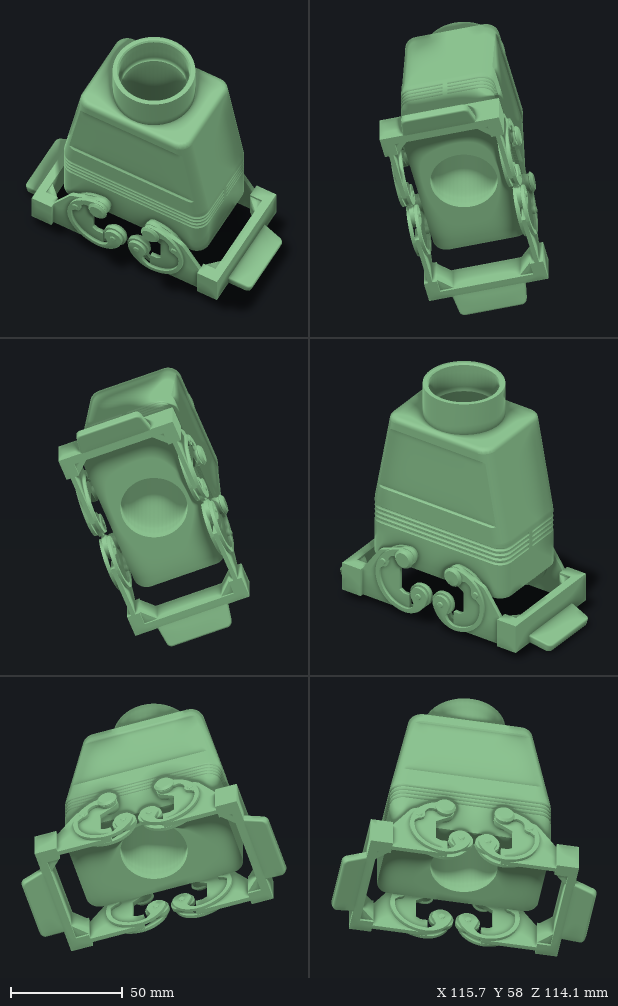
import cadquery as cq
import math


HOOD_LENGTH = 73.0
HOOD_WIDTH = 43.0
HOOD_HEIGHT = 75.0
HOOD_TOP_LENGTH = 55.6
TAPER_START = 28.5
TAPER_BLEND_RADIUS = 6.0
CORNER_RADIUS = 6.0
TOP_EDGE_RADIUS = 2.5

PANEL_BOTTOM = 36.9
PANEL_TOP = 68.1
PANEL_DEPTH = 0.8

GROOVE_COUNT = 4
GROOVE_LOWEST = 18.2
GROOVE_PITCH = 2.4
GROOVE_DEPTH = 0.8
GROOVE_RIB_WIDTH = 2.4

NECK_RADIUS = 18.5
NECK_HEIGHT = 16.0
NECK_BORE_RADIUS = 16.0
NECK_BORE_DEPTH = 12.0
NECK_MOUTH_CHAMFER = 0.6
CABLE_HOLE_RADIUS = 15.0
LEDGE_RADIUS = 2.0

FRAME_END = 47.3
FRAME_WIDTH = 54.8
FRAME_TOP = -6.4
FRAME_HEIGHT = 14.0
BAR_THICKNESS = 4.0
ARM_LENGTH = 10.1
ARM_WIDTH = 6.0
GUSSET_DROP = 1.1
FRAME_BOTTOM = FRAME_TOP - FRAME_HEIGHT
ARM_END = FRAME_END - ARM_LENGTH

TAB_TOP = -16.4
TAB_THICKNESS = 3.92
TAB_LENGTH = 11.19
TAB_ROOT_WIDTH = 34.0
TAB_TIP_WIDTH = 30.2
TAB_DROOP = 16.0
TAB_CORNER_RADIUS = 2.5
TAB_EDGE_RADIUS = 0.8
TAB_EMBED = 2.0

SIDE_Y = 24.5
PLATE_THICKNESS = 2.0
HOOK_THICKNESS = 5.0
RIVET_LENGTH = 6.0
PIN = (-13.4, 7.6)
HOOK_CENTRE = (-13.4, -4.6)
RIVET = (-25.2, 2.0)
ROLLER = (-6.0, -9.9)
HOOK_OUTER_RADIUS = 16.0
HOOK_INNER_RADIUS = 14.0
PIN_BOSS_RADIUS = 4.2
HOOK_PIN_RADIUS = 3.9
PIN_RADIUS = 2.3
PIN_HEAD_RADIUS = 4.6
PIN_HEAD_CHAMFER = 1.0
PIN_HEAD_THICKNESS = 1.4
PIN_END = 29.0
ROLLER_RADIUS = 5.5
HOOK_EYE_RADIUS = 4.35
RIVET_RADIUS = 1.5
RIVET_CHAMFER = 0.4
RIVET_BOSS_RADIUS = 5.1
RIVET_COLLAR_RADIUS = 2.6
PLATE_JAW_X = -17.4
PLATE_SEAT_Z = -12.0
PLATE_SEAT_CORNER = (2.0, 1.2)
PLATE_TIP_X = -12.2


def polar(centre, radius, degrees):
    """Point on a circle, with the angle counted from +X."""
    angle = math.radians(degrees)
    return (centre[0] + radius * math.cos(angle), centre[1] + radius * math.sin(angle))


def tangent_point(point, centre, radius, side):
    """Where a line from a point touches a circle; side is +1 or -1."""
    dx = point[0] - centre[0]
    dy = point[1] - centre[1]
    spread = math.degrees(math.acos(radius / math.hypot(dx, dy)))
    return polar(centre, radius, math.degrees(math.atan2(dy, dx)) + side * spread)


def slab(y_start, thickness):
    """Workplane for XZ outlines whose extrusion by the thickness fills from y_start towards +Y."""
    return cq.Workplane("XZ", origin=(0, y_start + thickness, 0))


def disc(centre, radius, thickness, y_start):
    return slab(y_start, thickness).center(*centre).circle(radius).extrude(thickness)


def make_hood_body():
    half = HOOD_LENGTH / 2
    half_top = HOOD_TOP_LENGTH / 2
    body = (
        slab(-HOOD_WIDTH / 2, HOOD_WIDTH)
        .moveTo(-half, 0)
        .lineTo(half, 0)
        .lineTo(half, TAPER_START)
        .lineTo(half_top, HOOD_HEIGHT)
        .lineTo(-half_top, HOOD_HEIGHT)
        .lineTo(-half, TAPER_START)
        .close()
        .extrude(HOOD_WIDTH)
    )
    margin = 1.0
    bends = cq.selectors.BoxSelector(
        (-HOOD_LENGTH, -HOOD_WIDTH, TAPER_START - margin),
        (HOOD_LENGTH, HOOD_WIDTH, TAPER_START + margin),
    )
    body = body.edges("|Y").edges(bends).fillet(TAPER_BLEND_RADIUS)
    body = body.faces("<Y or >Y").edges("not |X").fillet(CORNER_RADIUS)
    return body.faces(">Z").edges().fillet(TOP_EDGE_RADIUS)


def cut_panels(hood):
    face_y = HOOD_WIDTH / 2
    outline = [
        (-face_y, PANEL_BOTTOM - PANEL_DEPTH),
        (-face_y + PANEL_DEPTH, PANEL_BOTTOM),
        (-face_y + PANEL_DEPTH, PANEL_TOP),
        (-face_y, PANEL_TOP + PANEL_DEPTH),
    ]
    panel = cq.Workplane("YZ").polyline(outline).close().extrude(HOOD_LENGTH / 2, both=True)
    return hood.cut(panel).cut(panel.mirror("XZ"))


def hood_outline(z):
    """Rounded plan outline of the hood at a height, ready to be extruded."""
    outline = cq.Sketch().rect(HOOD_LENGTH, HOOD_WIDTH).vertices().fillet(CORNER_RADIUS)
    return cq.Workplane("XY", origin=(0, 0, z)).placeSketch(outline)


def make_groove(z_centre):
    """V-shaped ring around the hood, left out where the end ribs stand."""
    lower_core = hood_outline(z_centre - GROOVE_DEPTH).extrude(GROOVE_DEPTH, taper=45)
    core = lower_core.union(lower_core.mirror("XY", (0, 0, z_centre)))
    ring = hood_outline(z_centre - GROOVE_DEPTH).extrude(2 * GROOVE_DEPTH).cut(core)
    rib = cq.Workplane("XY", origin=(0, 0, z_centre)).box(
        2 * HOOD_LENGTH, GROOVE_RIB_WIDTH, 4 * GROOVE_DEPTH
    )
    return ring.cut(rib)


def add_neck(hood):
    top = HOOD_HEIGHT + NECK_HEIGHT
    bore_end = top - NECK_BORE_DEPTH
    arc_centre = NECK_BORE_RADIUS - LEDGE_RADIUS
    ledge_angle = math.acos((CABLE_HOLE_RADIUS - arc_centre) / LEDGE_RADIUS)
    ledge_drop = LEDGE_RADIUS * math.sin(ledge_angle)
    arc_middle = (
        arc_centre + LEDGE_RADIUS * math.cos(ledge_angle / 2),
        bore_end - LEDGE_RADIUS * math.sin(ledge_angle / 2),
    )
    bore = (
        cq.Workplane("XZ")
        .lineTo(CABLE_HOLE_RADIUS, 0)
        .lineTo(CABLE_HOLE_RADIUS, bore_end - ledge_drop)
        .threePointArc(arc_middle, (NECK_BORE_RADIUS, bore_end))
        .lineTo(NECK_BORE_RADIUS, top - NECK_MOUTH_CHAMFER)
        .lineTo(NECK_BORE_RADIUS + NECK_MOUTH_CHAMFER, top)
        .lineTo(0, top)
        .close()
        .revolve(360, (0, 0, 0), (0, 1, 0))
    )
    neck = cq.Workplane("XY", origin=(0, 0, HOOD_HEIGHT)).circle(NECK_RADIUS).extrude(NECK_HEIGHT)
    return hood.union(neck).cut(bore)


def make_hood():
    hood = cut_panels(make_hood_body())
    for index in range(GROOVE_COUNT):
        hood = hood.cut(make_groove(GROOVE_LOWEST + index * GROOVE_PITCH))
    return add_neck(hood)


def make_frame():
    """Bar with two arms and an inside gusset in each corner, at the -X end."""
    bar_inner = -FRAME_END + BAR_THICKNESS
    arm_inner = FRAME_WIDTH / 2 - ARM_WIDTH
    frame = (
        cq.Workplane("XY", origin=(0, 0, FRAME_BOTTOM))
        .moveTo(-FRAME_END, -FRAME_WIDTH / 2)
        .lineTo(-ARM_END, -FRAME_WIDTH / 2)
        .lineTo(-ARM_END, -arm_inner)
        .lineTo(bar_inner, -arm_inner)
        .lineTo(bar_inner, arm_inner)
        .lineTo(-ARM_END, arm_inner)
        .lineTo(-ARM_END, FRAME_WIDTH / 2)
        .lineTo(-FRAME_END, FRAME_WIDTH / 2)
        .close()
        .extrude(FRAME_HEIGHT)
    )
    gusset_leg = -ARM_END - bar_inner
    gusset = (
        cq.Workplane("XY", origin=(0, 0, FRAME_BOTTOM + GUSSET_DROP))
        .moveTo(bar_inner, -arm_inner)
        .lineTo(bar_inner + gusset_leg, -arm_inner)
        .lineTo(bar_inner, -arm_inner + gusset_leg)
        .close()
        .extrude(FRAME_HEIGHT - 2 * GUSSET_DROP)
    )
    return frame.union(gusset).union(gusset.mirror("XZ"))


def make_tab():
    """Rounded finger tab, drawn flat along -X and then tilted about its upper root edge."""
    flare = (TAB_ROOT_WIDTH - TAB_TIP_WIDTH) / 2 / TAB_LENGTH
    hidden_half = TAB_ROOT_WIDTH / 2 + flare * TAB_EMBED
    tip_half = TAB_TIP_WIDTH / 2
    tab = (
        cq.Workplane("XY", origin=(0, 0, -TAB_THICKNESS))
        .moveTo(TAB_EMBED, -hidden_half)
        .lineTo(TAB_EMBED, hidden_half)
        .lineTo(-TAB_LENGTH, tip_half)
        .lineTo(-TAB_LENGTH, -tip_half)
        .close()
        .extrude(TAB_THICKNESS)
    )
    tab = tab.faces("<X").edges("|Z").fillet(TAB_CORNER_RADIUS)
    tab = tab.faces("<X").edges("<Z or >Z").fillet(TAB_EDGE_RADIUS)
    tab = tab.rotate((0, 0, 0), (0, 1, 0), -TAB_DROOP)
    return tab.translate((-FRAME_END, 0, TAB_TOP))


def make_plate():
    """Flat locking plate between the frame arm and the pin."""
    arm_corner = (-ARM_END, FRAME_TOP)
    slope_touch = tangent_point(arm_corner, RIVET, RIVET_BOSS_RADIUS, -1)
    boss_top = polar(RIVET, RIVET_BOSS_RADIUS, 115)
    boss_middle = polar(RIVET, RIVET_BOSS_RADIUS, 135)
    pin_top = polar(PIN, PIN_BOSS_RADIUS, 115)
    pin_far = polar(PIN, PIN_BOSS_RADIUS, 20)
    jaw_top = (PLATE_JAW_X, 0)
    pin_bottom = tangent_point(jaw_top, PIN, PIN_BOSS_RADIUS, 1)
    return (
        slab(SIDE_Y - PLATE_THICKNESS / 2, PLATE_THICKNESS)
        .moveTo(-ARM_END, FRAME_BOTTOM)
        .lineTo(*arm_corner)
        .lineTo(*slope_touch)
        .threePointArc(boss_middle, boss_top)
        .lineTo(*pin_top)
        .threePointArc(pin_far, pin_bottom)
        .lineTo(*jaw_top)
        .lineTo(PLATE_JAW_X, PLATE_SEAT_Z + PLATE_SEAT_CORNER[1])
        .lineTo(PLATE_JAW_X + PLATE_SEAT_CORNER[0], PLATE_SEAT_Z)
        .lineTo(PLATE_TIP_X, PLATE_SEAT_Z)
        .lineTo(PLATE_TIP_X, FRAME_BOTTOM)
        .close()
        .extrude(PLATE_THICKNESS)
    )


def make_hook():
    """Pair of C-shaped hook layers, from the pin round to the eye, one on each face of the plate."""
    pin_top = polar(PIN, HOOK_PIN_RADIUS, 88)
    pin_far = polar(PIN, HOOK_PIN_RADIUS, 0)
    pin_under = polar(PIN, HOOK_PIN_RADIUS, 200)
    outer_top = polar(HOOK_CENTRE, HOOK_OUTER_RADIUS, 100)
    outer_left = polar(HOOK_CENTRE, HOOK_OUTER_RADIUS, 180)
    outer_bottom = polar(HOOK_CENTRE, HOOK_OUTER_RADIUS, 270)
    eye_right = polar(ROLLER, HOOK_EYE_RADIUS, -22)
    eye_top = polar(ROLLER, HOOK_EYE_RADIUS, 90)
    eye_left = polar(ROLLER, HOOK_EYE_RADIUS, 210)
    inner_bottom = polar(HOOK_CENTRE, HOOK_INNER_RADIUS, 270)
    inner_left = polar(HOOK_CENTRE, HOOK_INNER_RADIUS, 215)
    inner_top = polar(HOOK_CENTRE, HOOK_INNER_RADIUS, 171)
    collar_low = polar(RIVET, RIVET_COLLAR_RADIUS, 270)
    collar_middle = polar(RIVET, RIVET_COLLAR_RADIUS, 315)
    collar_high = polar(RIVET, RIVET_COLLAR_RADIUS, 20)
    outer_belly = (-5.8, -17.6)
    throat = (-8.6, -14.9)
    throat_lip_middle = (-9.5, -16.6)
    relief_top = (-19.2, 6.8)
    relief_middle = (-21.6, 5.6)
    hook = (
        slab(SIDE_Y - HOOK_THICKNESS / 2, HOOK_THICKNESS)
        .moveTo(*outer_top)
        .threePointArc(outer_left, outer_bottom)
        .threePointArc(outer_belly, eye_right)
        .threePointArc(eye_top, eye_left)
        .lineTo(*throat)
        .threePointArc(throat_lip_middle, inner_bottom)
        .threePointArc(inner_left, inner_top)
        .lineTo(*collar_low)
        .threePointArc(collar_middle, collar_high)
        .threePointArc(relief_middle, relief_top)
        .lineTo(*pin_under)
        .threePointArc(pin_far, pin_top)
        .close()
        .extrude(HOOK_THICKNESS)
    )
    gap_size = 4 * HOOK_OUTER_RADIUS
    gap = cq.Workplane("XY", origin=(HOOK_CENTRE[0], SIDE_Y, HOOK_CENTRE[1])).box(
        gap_size, PLATE_THICKNESS, gap_size
    )
    return hook.cut(gap)


def make_rivet(centre):
    rivet = disc(centre, RIVET_RADIUS, RIVET_LENGTH, SIDE_Y - RIVET_LENGTH / 2)
    return rivet.faces("<Y or >Y").edges().chamfer(RIVET_CHAMFER)


def make_pin():
    """Headed pin that joins the hook and plate to the hood wall."""
    hood_face = HOOD_WIDTH / 2
    shaft = disc(PIN, PIN_RADIUS, PIN_END - hood_face, hood_face)
    head = disc(PIN, PIN_HEAD_RADIUS, PIN_HEAD_THICKNESS, PIN_END - PIN_HEAD_THICKNESS)
    head = head.faces(">Y").edges().chamfer(PIN_HEAD_CHAMFER)
    return shaft.union(head)


def make_side_lock():
    roller = disc(ROLLER, ROLLER_RADIUS, PLATE_THICKNESS, SIDE_Y - PLATE_THICKNESS / 2)
    lock = make_plate().union(make_hook()).union(roller).union(make_pin())
    for centre in (RIVET, ROLLER):
        lock = lock.union(make_rivet(centre))
    return lock


def make_lever():
    """Complete locking lever at the -X end."""
    lock = make_side_lock()
    return make_frame().union(make_tab()).union(lock).union(lock.mirror("XZ"))


lever = make_lever()
result = make_hood().union(lever).union(lever.mirror("YZ"))